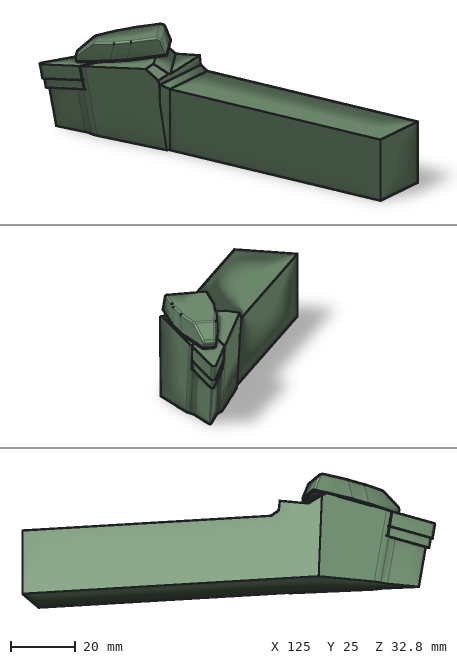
import cadquery as cq
import math

LENGTH = 125.0
SHANK = 20.0
BACK_Y = 25.0
SHANK_FRONT_Y = BACK_Y - SHANK

NECK_X = 45.9
HEAD_END_X = 43.44
NECK_TOP = 21.5
NECK_SIDE = 1.9
HEAD_END_LEAN = 0.12

CLAMP_ANGLE = 30.0
TILT = 9.76
NOSE_CENTRE = (0.79, 0.81, 20.2)

NOSE_ANGLE = 35.0
FRONT_EDGE_ANGLE = -26.5
LEFT_EDGE_ANGLE = FRONT_EDGE_ANGLE + NOSE_ANGLE
NOSE_RADIUS = 0.8
INSERT_SIDE = 16.6
INSERT_THICK = 4.8
SHIM_THICK = 3.1
SHIM_INSET = 0.4
SHIM_NOSE_RADIUS = 0.5

SUPPORT_INSET = 0.9
SUPPORT_NOSE_RADIUS = 0.2
HEAD_OUTSET = 0.1
FLARE_START = 11.2
FLARE_LENGTH = 4.9
FLANK_END = 62.5
HEAD_DEPTH = 37.5

RIDGE = 36.19
STEP_END = 40.8
STEP_DEPTH = 4.0

CORNER_X = 38.8
CORNER_Z = 26.06
CORNER_Y = 2.1
CORNER_SLOPE = 0.69

CLAMP_SHIFT = -1.8
CLAMP_NOSE = 11.0
CLAMP_REAR = 40.1
CLAMP_HEIGHT = 6.29
CLAMP_SPREAD = 0.345
BEND_START = 21.9
BEND_START_HALF = 5.81
BEND_LENGTH = 5.5
BEND_SAGITTA = 0.19
BEND_END_HALF = 6.9
CLAMP_REAR_HALF = 6.9
TOP_BEND_SHIFT = 2.5
TOP_REAR_INSET = 0.2
PAD_HEIGHT = 0.5
PAD_INSET = 0.4
CLAMP_NOSE_HEIGHT = 2.44
CREST = 17.6
CLAMP_TOP_REAR = 38.81
PROFILE_RADIUS = 1.6
RIM_RADIUS = 0.6

BIG = 250.0
TOLERANCE = 0.001

tilt = math.radians(TILT)
heading = math.radians(CLAMP_ANGLE)
SEAT = cq.Plane(
    origin=NOSE_CENTRE,
    xDir=(math.cos(heading) * math.cos(tilt), math.sin(heading) * math.cos(tilt), math.sin(tilt)),
    normal=(-math.cos(heading) * math.sin(tilt), -math.sin(heading) * math.sin(tilt), math.cos(tilt)),
)
CLAMP_SECTION = cq.Plane(origin=NOSE_CENTRE, xDir=SEAT.xDir.toTuple(), normal=(-SEAT.yDir).toTuple())


def polar(distance, degrees):
    angle = math.radians(degrees)
    return (distance * math.cos(angle), distance * math.sin(angle))


def on_edge(along, outward, side):
    """Seat point beside an insert edge; side is -1 for the front edge and 1 for the left edge."""
    edge_angle = FRONT_EDGE_ANGLE if side < 0 else LEFT_EDGE_ANGLE
    x, y = polar(along, edge_angle)
    dx, dy = polar(NOSE_RADIUS + outward, edge_angle + side * 90)
    return (x + dx, y + dy)


def beyond_plane(point, normal):
    """Block that fills the side of a plane its normal points to."""
    return cq.Workplane(cq.Plane(origin=point, normal=normal)).rect(BIG, BIG).extrude(BIG)


def insert_prism(thickness, inset=0.0, corner_radius=NOSE_RADIUS):
    """Rhombic prism hanging below the seat surface, with rounded acute corners."""
    middle = FRONT_EDGE_ANGLE + NOSE_ANGLE / 2
    half = math.radians(NOSE_ANGLE / 2)
    side = INSERT_SIDE - 2 * inset / math.sin(2 * half)
    centre_distance = INSERT_SIDE * math.cos(half) - NOSE_RADIUS / math.sin(half)
    frame = SEAT.rotated((0, 0, middle))
    frame.origin = SEAT.toWorldCoords(polar(centre_distance, middle))
    half_long = side * math.cos(half)
    half_short = side * math.sin(half)
    corners = [(-half_long, 0), (0, -half_short), (half_long, 0), (0, half_short)]
    body = cq.Workplane(frame).polyline(corners).close().extrude(-thickness)
    for end in (-half_long, half_long):
        corner_edge = frame.toWorldCoords((end, 0, -thickness / 2)).toTuple()
        body = body.edges(cq.selectors.NearestToPointSelector(corner_edge)).fillet(corner_radius)
    return body


def head_blank():
    """Head plan swept square to the seat, before its bottom and rear are trimmed."""
    middle = (HEAD_OUTSET - SUPPORT_INSET) / 2
    flare_mid = FLARE_START + FLARE_LENGTH / 2
    flare_end = FLARE_START + FLARE_LENGTH
    extra_radius = SUPPORT_NOSE_RADIUS - (NOSE_RADIUS - SUPPORT_INSET)
    half = math.radians(NOSE_ANGLE / 2)
    nose_start = extra_radius / math.tan(half)
    nose_tip = polar(extra_radius / math.sin(half) - SUPPORT_NOSE_RADIUS, FRONT_EDGE_ANGLE + NOSE_ANGLE / 2)
    return (
        cq.Workplane(SEAT)
        .moveTo(*on_edge(nose_start, -SUPPORT_INSET, -1))
        .lineTo(*on_edge(FLARE_START, -SUPPORT_INSET, -1))
        .tangentArcPoint(on_edge(flare_mid, middle, -1), relative=False)
        .tangentArcPoint(on_edge(flare_end, HEAD_OUTSET, -1), relative=False)
        .lineTo(*on_edge(FLANK_END, HEAD_OUTSET, -1))
        .lineTo(*on_edge(FLANK_END, HEAD_OUTSET, 1))
        .lineTo(*on_edge(flare_end, HEAD_OUTSET, 1))
        .tangentArcPoint(on_edge(flare_mid, middle, 1), relative=False)
        .tangentArcPoint(on_edge(FLARE_START, -SUPPORT_INSET, 1), relative=False)
        .lineTo(*on_edge(nose_start, -SUPPORT_INSET, 1))
        .threePointArc(nose_tip, on_edge(nose_start, -SUPPORT_INSET, -1))
        .close()
        .extrude(-HEAD_DEPTH)
    )


def rear_relief():
    """Space above the step behind the seat."""
    return (
        cq.Workplane(CLAMP_SECTION)
        .polyline([
            (RIDGE, 0),
            (STEP_END, -STEP_DEPTH),
            (FLANK_END, -STEP_DEPTH),
            (FLANK_END, STEP_DEPTH),
            (RIDGE, STEP_DEPTH),
        ])
        .close()
        .extrude(BIG / 2, both=True)
    )


def corner_relief():
    """Space above the sloping front corner; its upper edge runs square to X along the seat."""
    rise_y = -SEAT.zDir.y / SEAT.zDir.z
    return beyond_plane((CORNER_X, CORNER_Y, CORNER_Z), (CORNER_SLOPE, -rise_y, 1))


def head():
    body = head_blank()
    body = body.cut(beyond_plane((0, 0, 0), (0, 0, -1)))
    body = body.cut(beyond_plane((0, BACK_Y, 0), (0, 1, 0)))
    body = body.cut(beyond_plane((HEAD_END_X, 0, 0), (1, 0, 0)))
    body = body.cut(beyond_plane((HEAD_END_X, 0, NECK_TOP), (1, 0, HEAD_END_LEAN)))
    return body.cut(rear_relief()).cut(corner_relief())


def neck():
    """Tapered block between head and shank, trimmed to the front flank of the head."""
    span = NECK_X - HEAD_END_X
    start_front = SHANK_FRONT_Y - NECK_SIDE
    block = (
        cq.Workplane("XY")
        .box(span, BACK_Y - start_front, NECK_TOP, centered=False)
        .translate((HEAD_END_X, start_front, 0))
    )
    block = block.cut(beyond_plane((NECK_X, 0, SHANK), (NECK_TOP - SHANK, 0, span)))
    block = block.cut(beyond_plane((NECK_X, SHANK_FRONT_Y, 0), (NECK_SIDE, -span, 0)))
    flank_x, flank_y = on_edge(0, HEAD_OUTSET, -1)
    outward = SEAT.toWorldCoords(polar(1.2, FRONT_EDGE_ANGLE - 90) + (0,)) - cq.Vector(*NOSE_CENTRE)
    flank = SEAT.toWorldCoords((flank_x, flank_y, 0)).toTuple()
    return block.cut(beyond_plane(flank, outward.toTuple()))


def shank():
    return (
        cq.Workplane("XY")
        .box(LENGTH - NECK_X, SHANK, SHANK, centered=False)
        .translate((NECK_X, SHANK_FRONT_Y, 0))
    )


def clamp_plan(height, bend_shift=0.0, rear_inset=0.0, inset=0.0):
    """Closed clamp outline at a height above the seat."""
    start = BEND_START + bend_shift
    end = start + BEND_LENGTH
    nose = CLAMP_NOSE + inset
    start_half = BEND_START_HALF - inset
    nose_half = start_half - CLAMP_SPREAD * (start - nose)
    end_half = BEND_END_HALF - rear_inset - inset
    rear_half = CLAMP_REAR_HALF - rear_inset - inset
    rear = CLAMP_REAR - inset
    return (
        cq.Workplane(SEAT)
        .workplane(offset=height)
        .center(0, CLAMP_SHIFT)
        .moveTo(nose, -nose_half)
        .lineTo(start, -start_half)
        .sagittaArc((end, -end_half), BEND_SAGITTA)
        .lineTo(rear, -rear_half)
        .lineTo(rear, rear_half)
        .lineTo(end, end_half)
        .sagittaArc((start, start_half), BEND_SAGITTA)
        .lineTo(nose, nose_half)
        .close()
    )


def nearest_edge(along, across, height):
    """Selects the edge closest to a point given in seat coordinates."""
    return cq.selectors.NearestToPointSelector(SEAT.toWorldCoords((along, across, height)).toTuple())


def clamp_profile():
    """Side profile of the clamp: blunt nose, slope, flat top and rounded rear."""
    corners = [
        (CLAMP_NOSE, CLAMP_NOSE_HEIGHT),
        (CREST, CLAMP_HEIGHT),
        (CLAMP_TOP_REAR, CLAMP_HEIGHT),
    ]
    profile = (
        cq.Workplane(CLAMP_SECTION)
        .polyline([(CLAMP_NOSE, 0), *corners, (CLAMP_REAR, 0)])
        .close()
        .extrude(BIG / 2, both=True)
    )
    for along, height in corners:
        profile = profile.edges(nearest_edge(along, 0, height)).fillet(PROFILE_RADIUS)
    return profile


def is_strip_face(face):
    """True on the strip that runs from the nose over the top and down the rear of the clamp."""
    normal = face.normalAt()
    return abs(normal.dot(SEAT.yDir)) < TOLERANCE and normal.dot(SEAT.zDir) > -0.5


def is_not_crosswise(edge):
    return abs(edge.tangentAt(0.5).dot(SEAT.yDir)) < 0.9


def clamp():
    """Clamp finger that widens from its nose, bends and runs back to a rounded rear."""
    bottom = clamp_plan(PAD_HEIGHT).wires().val()
    top = clamp_plan(CLAMP_HEIGHT, TOP_BEND_SHIFT, TOP_REAR_INSET).wires().val()
    body = cq.Workplane(obj=cq.Solid.makeLoft([bottom, top], True)).intersect(clamp_profile())
    rim = body.faces().filter(is_strip_face).edges().filter(is_not_crosswise)
    body = body.newObject(rim.vals()).fillet(RIM_RADIUS)
    pad = clamp_plan(0, inset=PAD_INSET).extrude(PAD_HEIGHT)
    return body.union(pad)


def holder():
    """Shank, neck, head, shim and clamp as one solid, with the pocket for the insert."""
    body = head().cut(insert_prism(INSERT_THICK + SHIM_THICK))
    shim = insert_prism(INSERT_THICK + SHIM_THICK, SHIM_INSET, SHIM_NOSE_RADIUS).cut(insert_prism(INSERT_THICK))
    return body.union(shim).union(neck()).union(shank()).union(clamp())


insert = insert_prism(INSERT_THICK)

result = cq.Compound.makeCompound([holder().val(), insert.val()])